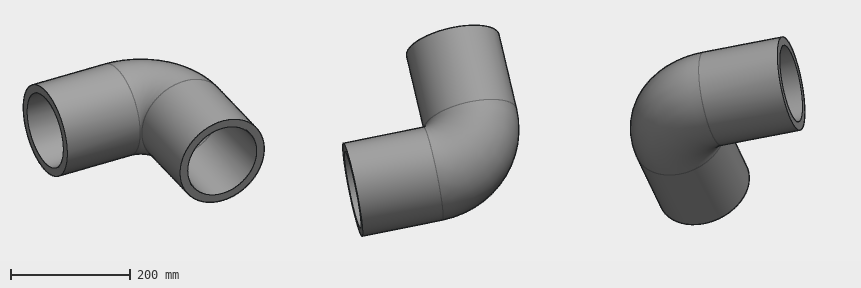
import math

import cadquery as cq

overall_length = 300.0
outer_diameter = 160.0
bore_diameter = 130.8
leg_length = 138.0

bend_radius = overall_length - leg_length - outer_diameter / 2

bend_middle = bend_radius * math.sqrt(0.5)
centerline = (
    cq.Workplane("XY")
    .moveTo(-bend_radius, -leg_length)
    .lineTo(-bend_radius, 0)
    .threePointArc((-bend_middle, bend_middle), (0, bend_radius))
    .lineTo(leg_length, bend_radius)
)

pipe_end = cq.Workplane("XZ", origin=(-bend_radius, -leg_length, 0))
result = (
    pipe_end
    .circle(outer_diameter / 2)
    .circle(bore_diameter / 2)
    .sweep(centerline)
)